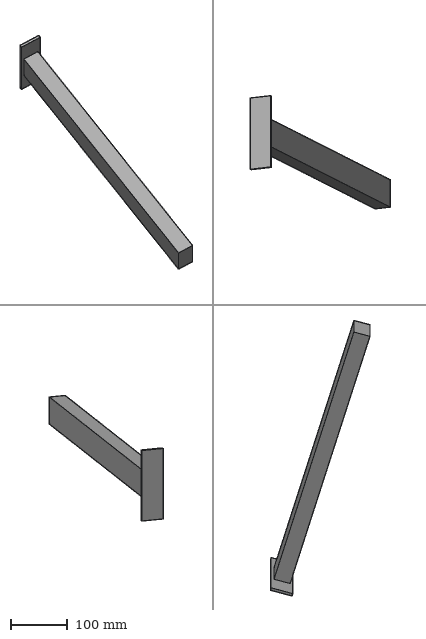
import cadquery as cq

total_length = 505.0
plate_thickness = 5.0
plate_width = 40.0
plate_height = 130.0

beam_width = 30.0
beam_height = 50.0
beam_length = total_length - plate_thickness


def make_end_plate():
    """Upright rectangular plate with its outer face at X = 0."""
    return cq.Workplane("YZ").rect(plate_width, plate_height).extrude(plate_thickness)


def make_beam():
    """Straight rectangular beam that butts against the inner face of the plate."""
    return (
        cq.Workplane("YZ", origin=(plate_thickness, 0, 0))
        .rect(beam_width, beam_height)
        .extrude(beam_length)
    )


end_plate = make_end_plate()
beam = make_beam()

result = cq.Compound.makeCompound([end_plate.val(), beam.val()])